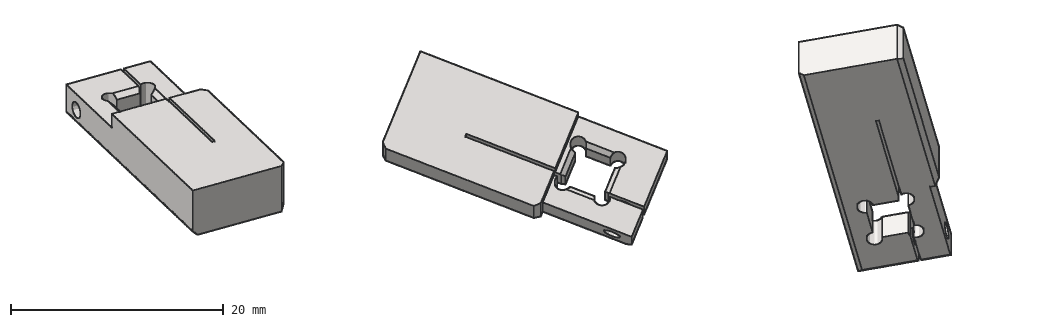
import cadquery as cq

length = 25.0
width = 10.0
height = 5.0
edge_chamfer = 0.5

clamp_length = 9.0
clamp_width = 9.0
clamp_height = 3.5

opening_side = 4.0
opening_x = 6.0
opening_y = clamp_width / 2
opening_chamfer = 0.5
relief_diameter = 1.5

slot_length = 18.0
slot_width = 0.3
slot_y = 6.0

screw_diameter = 1.6
screw_x = 2.0
screw_z = clamp_height / 2


def box(size_x, size_y, size_z, x=0, y=0):
    """Box standing on the base plane with its lower corner at (x, y)."""
    return cq.Workplane("XY").box(size_x, size_y, size_z, centered=False).translate((x, y, 0))


def make_body():
    """Stepped block, chamfered on the back corners and bottom edges."""
    main_block = box(length - clamp_length, width, height, x=clamp_length)
    main_block = main_block.edges("|Z and >Y").chamfer(edge_chamfer)
    body = main_block.union(box(clamp_length, clamp_width, clamp_height))
    for side in ("<Y", "<X", ">Y"):
        body = body.faces(side).edges("<Z").chamfer(edge_chamfer)
    return body


def make_opening():
    """Square through opening, flared at the top, with corner reliefs."""
    center = (opening_x, opening_y)
    flared_side = opening_side + 2 * opening_chamfer
    opening = cq.Workplane("XY").center(*center).rect(opening_side, opening_side).extrude(clamp_height)
    flare = (
        cq.Workplane("XY", origin=(0, 0, clamp_height - opening_chamfer))
        .center(*center)
        .rect(opening_side, opening_side)
        .workplane(offset=opening_chamfer)
        .rect(flared_side, flared_side)
        .loft(ruled=True)
    )
    reliefs = (
        cq.Workplane("XY")
        .center(*center)
        .rect(opening_side, opening_side, forConstruction=True)
        .vertices()
        .circle(relief_diameter / 2)
        .extrude(clamp_height)
    )
    return opening.union(flare).union(reliefs)


def make_slot():
    """Full-height slot open at the clamping end."""
    return box(slot_length, slot_width, height, y=slot_y - slot_width / 2)


def make_screw_hole():
    """Cross hole through the clamping end, along Y."""
    return (
        cq.Workplane("XZ", origin=(screw_x, 0, screw_z))
        .circle(screw_diameter / 2)
        .extrude(-clamp_width)
    )


result = make_body().cut(make_opening()).cut(make_slot()).cut(make_screw_hole())